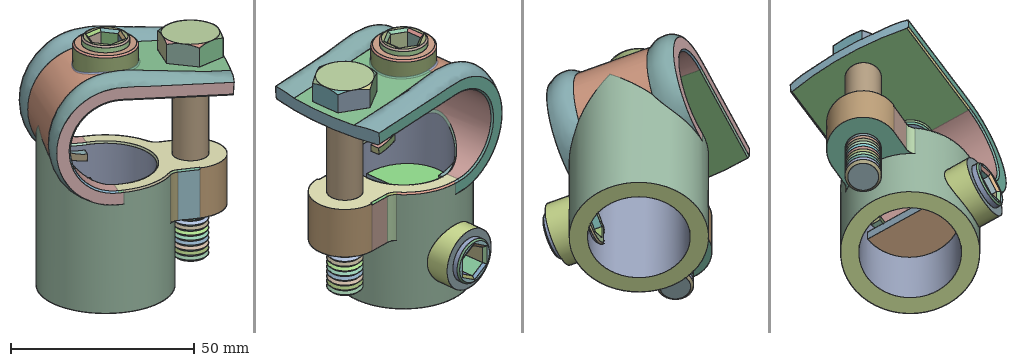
import cadquery as cq
import math

TUBE_R = 19.0
BORE_R = 14.0
EDGE_CHAMFER = 0.5

HOOK_WIDTH = 2 * TUBE_R
HOOK_IN_R = 13.5
HOOK_WALL = 4.0
HOOK_OUT_R = HOOK_IN_R + HOOK_WALL
HOOK_Y = HOOK_OUT_R - TUBE_R
HOOK_Z = 50.0
LEDGE_Z = HOOK_Z - HOOK_IN_R
PLATE_SLOPE = 4.0
PLATE_END_Y = 33.1
PLATE_END_R = 95.0

RIB_WIDTH = 8.0
RIB_X = TUBE_R - RIB_WIDTH / 2
RIB_ROOT = 2.0
RIB_PLATE_HEIGHTS = [(1, 0.15), (0.88, 0.65), (0.75, 1.15), (0.5, 1.95), (0.25, 2.55)]
RIB_BEND_HEIGHTS = [
    (-PLATE_SLOPE, 2.95),
    (20, 2.65),
    (45, 1.95),
    (68, 1.35),
    (90, 1.0),
    (112, 0.95),
    (135, 0.9),
    (155, 0.6),
    (178, 0.1),
]

LUG_R = 10.0
LUG_Y = 24.0
LUG_HEIGHT = 15.0
LUG_FILLET = 3.0

BOSS_R = 9.0
TOP_BOSS_Z = 72.5
TOP_BOSS_ROOT_FILLET = 0.4
SIDE_BOSS_X = -24.0
SIDE_BOSS_Z = 14.0

STOP_Y = -0.5
STOP_Z = 26.0
STOP_THICK = 4.0

SCREW_R = 6.6
SCREW_LENGTH = 13.0
SCREW_CHAMFER = 0.5
SCREW_HEX = 8.3
SCREW_HEX_CHAMFER = 0.8
MOUTH_TAPER = 45.0
TOP_SCREW_Z = 74.46
SIDE_SCREW_X = -26.0

BOLT_R = 5.0
BOLT_TIP_Z = 6.0
BOLT_HEAD_Z = 66.4
BOLT_HEAD_HEIGHT = 6.4
BOLT_HEAD_FLATS = 16.0
BOLT_HEAD_TAPER = 30.0
THREAD_PITCH = 1.5
THREAD_DEPTH = 0.8
THREAD_TOP_Z = LEDGE_Z - LUG_HEIGHT
THREAD_TURNS = int((THREAD_TOP_Z - BOLT_TIP_Z) / THREAD_PITCH)

TINY = 0.01
FAR = 100.0

SLOPE = math.radians(PLATE_SLOPE)
HEX_DIAMETER_PER_FLAT = 1 / math.cos(math.pi / 6)


def hook_point(angle, radius):
    """(y, z) on a hook circle, angle in degrees from the top toward the front."""
    a = math.radians(angle)
    return (HOOK_Y - radius * math.sin(a), HOOK_Z + radius * math.cos(a))


def along_plate(point, length):
    """Move a (y, z) point down the slope of the plate toward +Y."""
    return (point[0] + length * math.cos(SLOPE), point[1] - length * math.sin(SLOPE))


def across_x(width):
    """YZ workplane whose extrusion of `width` is centred on X = 0."""
    return cq.Workplane("YZ", origin=(-width / 2, 0, 0))


def make_hook():
    """Hook profile swept along X: flat foot, bend and sloping upper plate."""
    arc_middle = (180 - PLATE_SLOPE) / 2
    outer_top = hook_point(-PLATE_SLOPE, HOOK_OUT_R)
    inner_top = hook_point(-PLATE_SLOPE, HOOK_IN_R)
    return (
        across_x(HOOK_WIDTH)
        .moveTo(0, LEDGE_Z - HOOK_WALL)
        .lineTo(HOOK_Y, LEDGE_Z - HOOK_WALL)
        .threePointArc(hook_point(arc_middle, HOOK_OUT_R), outer_top)
        .lineTo(*along_plate(outer_top, FAR))
        .lineTo(*along_plate(inner_top, FAR))
        .lineTo(*inner_top)
        .threePointArc(hook_point(arc_middle, HOOK_IN_R), (HOOK_Y, LEDGE_Z))
        .lineTo(0, LEDGE_Z)
        .close()
        .extrude(HOOK_WIDTH)
    )


def make_socket():
    """Upright tube and the straight part of the bolt lug, cleared where the clamped pipe passes."""
    tube = cq.Workplane("XY").circle(TUBE_R).extrude(HOOK_Z)
    lug = (
        cq.Workplane("XY", origin=(0, 0, LEDGE_Z - LUG_HEIGHT))
        .moveTo(-LUG_R, 0)
        .lineTo(LUG_R, 0)
        .lineTo(LUG_R, LUG_Y)
        .lineTo(-LUG_R, LUG_Y)
        .close()
        .extrude(LUG_HEIGHT)
    )
    corner_y = math.sqrt(TUBE_R**2 - LUG_R**2)
    corner_z = LEDGE_Z - LUG_HEIGHT / 2
    pipe = across_x(FAR).center(HOOK_Y, HOOK_Z).circle(HOOK_IN_R).extrude(FAR)
    opening = cq.Workplane("XY").box(FAR, FAR, FAR, centered=(True, False, False))
    socket = tube.cut(pipe).cut(opening.translate((0, HOOK_Y, LEDGE_Z))).union(lug)
    for x in (-LUG_R, LUG_R):
        corner = cq.selectors.NearestToPointSelector((x, corner_y, corner_z))
        socket = socket.edges("|Z").edges(corner).fillet(LUG_FILLET)
    return socket


def make_lug_end():
    """Half-round end of the bolt lug."""
    return (
        cq.Workplane("XY", origin=(0, LUG_Y, LEDGE_Z - LUG_HEIGHT))
        .moveTo(LUG_R, 0)
        .threePointArc((0, LUG_R), (-LUG_R, 0))
        .close()
        .extrude(LUG_HEIGHT)
    )


def rib_section(x, point, angle, height):
    """Rounded cross-section of a rib standing on the hook's outer surface."""
    a = math.radians(angle)
    backward = (0, math.cos(a), math.sin(a))
    plane = cq.Plane(origin=(x, *point), xDir=(-1, 0, 0), normal=backward)
    half = RIB_WIDTH / 2
    return (
        cq.Workplane(plane)
        .moveTo(-half, -RIB_ROOT)
        .lineTo(-half, 0)
        .threePointArc((0, height), (half, 0))
        .lineTo(half, -RIB_ROOT)
        .close()
        .val()
    )


def make_rib(x):
    """Crescent rib that fades out at the plate end and at the foot of the hook."""
    bend = hook_point(-PLATE_SLOPE, HOOK_OUT_R)
    plate_length = (PLATE_END_Y - bend[0]) / math.cos(SLOPE)
    sections = []
    for fraction, height in RIB_PLATE_HEIGHTS:
        point = along_plate(bend, fraction * plate_length)
        sections.append(rib_section(x, point, -PLATE_SLOPE, height))
    for angle, height in RIB_BEND_HEIGHTS:
        sections.append(rib_section(x, hook_point(angle, HOOK_OUT_R), angle, height))
    return cq.Workplane(cq.Solid.makeLoft(sections))


def plate_end_trim():
    """Everything beyond the bowed end of the upper plate, square to the plate."""
    top_z = hook_point(-PLATE_SLOPE, HOOK_OUT_R)[1] - PLATE_END_Y * math.tan(SLOPE)
    plane = cq.Plane(
        origin=(0, PLATE_END_Y, top_z), xDir=(1, 0, 0), normal=(0, math.sin(SLOPE), math.cos(SLOPE))
    )
    depth = 2 * HOOK_WALL
    kept = cq.Workplane(plane).center(0, -PLATE_END_R).circle(PLATE_END_R).extrude(depth, both=True)
    beyond = cq.Workplane(plane).center(0, FAR / 2 - LUG_R).rect(FAR, FAR).extrude(depth, both=True)
    return beyond.cut(kept)


def chamfer_opening(body):
    """Break the edges where the pipe opening and the ledge meet the sides."""

    def is_rim(edge):
        middle = edge.Center()
        box = edge.BoundingBox()
        on_ledge = box.zlen < TINY and abs(middle.z - LEDGE_Z) < TINY
        ledge_rim = on_ledge and middle.y < LUG_Y and box.ylen > TINY
        on_side = box.xlen < TINY and abs(abs(middle.x) - TUBE_R) < TINY
        inside_hook = middle.z < HOOK_Z + HOOK_IN_R and box.zlen <= 2 * HOOK_IN_R + TINY
        side_rim = on_side and inside_hook and box.ylen > HOOK_IN_R
        return ledge_rim or side_rim

    rim = [edge for edge in body.edges().vals() if is_rim(edge)]
    return body.newObject(rim).chamfer(EDGE_CHAMFER)


def hex_prism(plane, flats, height, taper=0):
    """Hexagonal prism given by its width across flats."""
    return cq.Workplane(plane).polygon(6, flats * HEX_DIAMETER_PER_FLAT).extrude(height, taper=taper)


def side_plane(x):
    """Plane facing -X on the axis of the side screw, with its local X axis along Z."""
    return cq.Plane(origin=(x, 0, SIDE_BOSS_Z), xDir=(0, 0, 1), normal=(-1, 0, 0))


def top_plane(z):
    return cq.Plane(origin=(0, 0, z), xDir=(1, 0, 0), normal=(0, 0, 1))


def make_screw(head_plane):
    """Hollow set screw running back from the plane of its outer end."""
    screw = (
        cq.Workplane(head_plane)
        .circle(SCREW_R)
        .extrude(-SCREW_LENGTH)
        .faces("%PLANE")
        .chamfer(SCREW_CHAMFER)
    )
    wide_hex = SCREW_HEX + 2 * SCREW_HEX_CHAMFER
    mouth = hex_prism(head_plane, wide_hex, -SCREW_HEX_CHAMFER, MOUTH_TAPER)
    return screw.cut(hex_prism(head_plane, SCREW_HEX, -SCREW_LENGTH)).cut(mouth)


def make_bolt():
    """Hexagon head bolt with a threaded tip below the lug."""
    head = hex_prism(cq.Plane(origin=(0, LUG_Y, BOLT_HEAD_Z)), BOLT_HEAD_FLATS, BOLT_HEAD_HEIGHT)
    corner_r = BOLT_HEAD_FLATS * HEX_DIAMETER_PER_FLAT / 2
    flat_r = BOLT_HEAD_FLATS / 2
    head_top = BOLT_HEAD_Z + BOLT_HEAD_HEIGHT
    corner_drop = (corner_r - flat_r) * math.tan(math.radians(BOLT_HEAD_TAPER))
    head_envelope = (
        cq.Workplane("XZ")
        .moveTo(0, BOLT_HEAD_Z)
        .lineTo(corner_r, BOLT_HEAD_Z)
        .lineTo(corner_r, head_top - corner_drop)
        .lineTo(flat_r, head_top)
        .lineTo(0, head_top)
        .close()
        .revolve(360, (0, 0), (0, 1))
        .translate((0, LUG_Y, 0))
    )
    root_r = BOLT_R - THREAD_DEPTH
    shank = cq.Workplane("XZ").moveTo(0, BOLT_TIP_Z).lineTo(root_r, BOLT_TIP_Z)
    for turn in range(THREAD_TURNS):
        start_z = BOLT_TIP_Z + turn * THREAD_PITCH
        shank = shank.lineTo(BOLT_R, start_z + THREAD_PITCH / 2).lineTo(root_r, start_z + THREAD_PITCH)
    shank = (
        shank.lineTo(BOLT_R, THREAD_TOP_Z)
        .lineTo(BOLT_R, BOLT_HEAD_Z)
        .lineTo(0, BOLT_HEAD_Z)
        .close()
        .revolve(360, (0, 0), (0, 1))
        .translate((0, LUG_Y, 0))
    )
    return head.intersect(head_envelope).union(shank)


def make_pipe_stop():
    """Shelf across the front half of the socket bore, parallel to the upper plate."""
    profile = [
        (STOP_Y, STOP_Z),
        along_plate((STOP_Y, STOP_Z), -TUBE_R),
        along_plate((STOP_Y, STOP_Z - STOP_THICK), -TUBE_R),
        (STOP_Y, STOP_Z - STOP_THICK),
    ]
    slab = across_x(HOOK_WIDTH).polyline(profile).close().extrude(HOOK_WIDTH)
    inside = cq.Workplane("XY").circle((BORE_R + TUBE_R) / 2).extrude(HOOK_Z)
    return slab.intersect(inside)


def chamfer_bore_rim(body):
    """Break the half circle where the socket bore opens through the flat ledge."""

    def is_rim(edge):
        on_ledge = edge.BoundingBox().zlen < TINY and abs(edge.Center().z - LEDGE_Z) < TINY
        return on_ledge and edge.geomType() == "CIRCLE" and abs(edge.radius() - BORE_R) < TINY

    rim = [edge for edge in body.edges().vals() if is_rim(edge)]
    return body.newObject(rim).chamfer(EDGE_CHAMFER)


def add_bosses(body):
    """Screw bosses on top of the hook and on the side of the socket."""
    top_boss = (
        cq.Workplane(top_plane(TOP_BOSS_Z))
        .circle(BOSS_R)
        .extrude(HOOK_Z + HOOK_OUT_R - HOOK_WALL / 2 - TOP_BOSS_Z)
        .faces(">Z")
        .chamfer(EDGE_CHAMFER)
    )
    body = body.union(top_boss)

    def is_root(edge):
        middle = edge.Center()
        box = edge.BoundingBox()
        below_boss = HOOK_Z + HOOK_IN_R < middle.z < TOP_BOSS_Z - 2 * EDGE_CHAMFER
        around_boss = box.xlen > BOSS_R and abs(middle.x) < BOSS_R
        return below_boss and around_boss and edge.geomType() not in ("LINE", "CIRCLE")

    root = [edge for edge in body.edges().vals() if is_root(edge)]
    body = body.newObject(root).fillet(TOP_BOSS_ROOT_FILLET)

    side_boss = cq.Workplane(side_plane(SIDE_BOSS_X)).circle(BOSS_R).extrude(SIDE_BOSS_X + BORE_R)
    return body.union(side_boss)


def make_housing():
    body = chamfer_opening(make_socket().union(make_hook())).union(make_lug_end())
    body = add_bosses(body)
    bore = cq.Workplane("XY").circle(BORE_R).extrude(HOOK_Z)
    body = chamfer_bore_rim(body.cut(bore))
    for x in (-RIB_X, RIB_X):
        body = body.union(make_rib(x))
    body = body.cut(plate_end_trim())
    body = body.union(make_pipe_stop())

    for plane in (top_plane(TOP_SCREW_Z), side_plane(SIDE_SCREW_X)):
        body = body.cut(cq.Workplane(plane).circle(SCREW_R).extrude(-SCREW_LENGTH))
    bolt_hole = cq.Workplane("XY").center(0, LUG_Y).circle(BOLT_R).extrude(FAR)
    return body.cut(bolt_hole)


housing = make_housing()
bolt = make_bolt()
top_screw = make_screw(top_plane(TOP_SCREW_Z))
side_screw = make_screw(side_plane(SIDE_SCREW_X))

result = cq.Compound.makeCompound([housing.val(), bolt.val(), top_screw.val(), side_screw.val()])